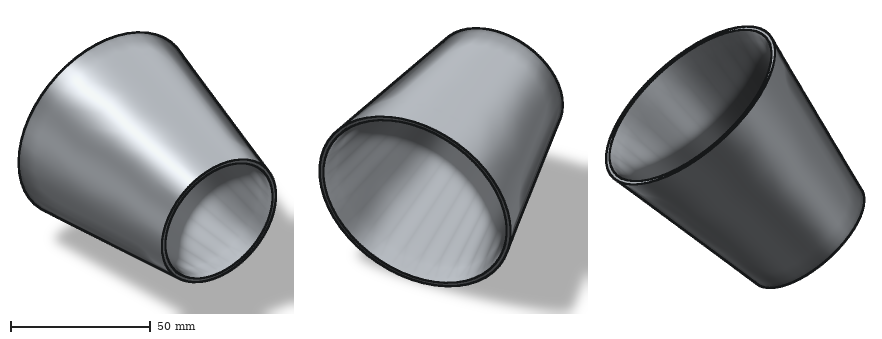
import cadquery as cq

length = 70.0
wide_diameter = 76.2
narrow_diameter = 50.8
wall = 1.6

wide_radius = wide_diameter / 2
narrow_radius = narrow_diameter / 2

wall_section = cq.Workplane("XY").polyline([
    (0, -wide_radius),
    (length, -narrow_radius),
    (length, -(narrow_radius - wall)),
    (0, -(wide_radius - wall)),
]).close()

result = wall_section.revolve(360, (0, 0, 0), (1, 0, 0))